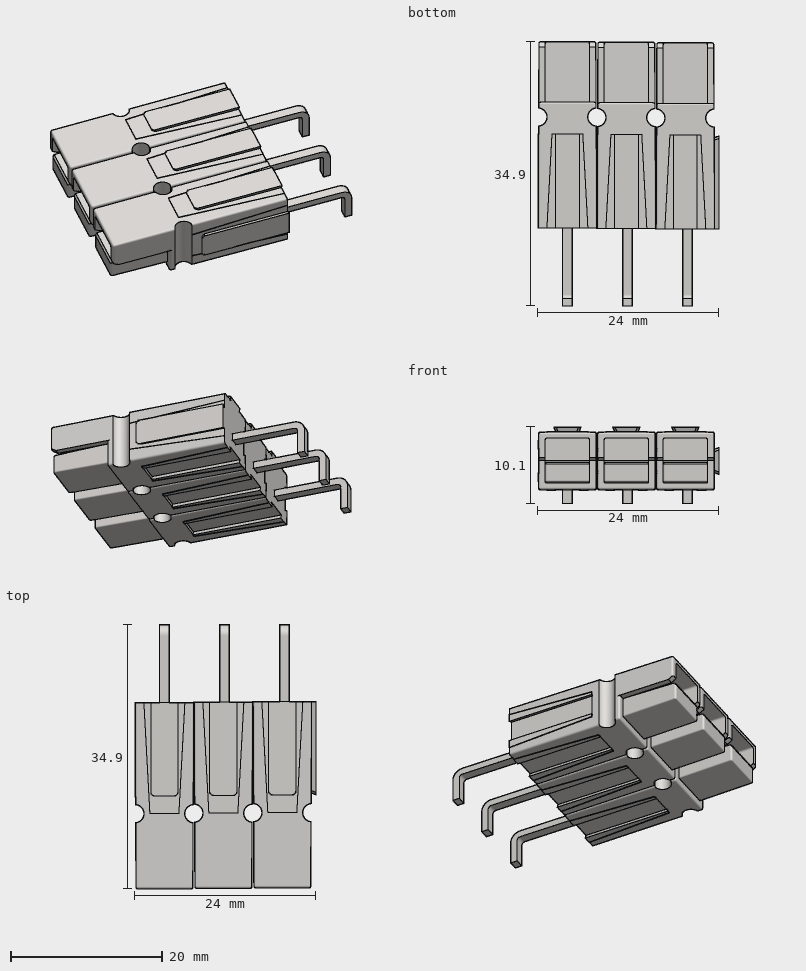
import cadquery as cq
import math

HOUSING_COUNT = 3
HOUSING_PITCH = 7.8
HOUSING_STAGGER = 0.07

HOUSING_LENGTH = 24.62
REAR_HALF_WIDTH = 3.85
FRONT_HALF_WIDTH = 3.77
EDGE_RADIUS = 0.28
BODY_FRONT = -16.62
HOOD_UNDERSIDE = 0.05
HOOD_LIP_RUN = 0.7
HOOD_LIP_RISE = 0.45
WINDOW_HALF_WIDTH = 2.95
WINDOW_TOP = 3.05
WINDOW_RADIUS = 0.28

BLOCK_TOP_FRONT = -0.17
BLOCK_CHAMFER = 0.25
BLOCK_BOTTOM_REAR = -2.9
BLOCK_BOTTOM_FRONT = -2.75
BLOCK_BOTTOM_RADIUS = 0.17

PAD_REAR_WIDTH = 5.4
PAD_SLOPE = 0.054
TONGUE_PAD_HEIGHT = 3.88
TONGUE_PAD_LENGTH = 14.65
GROOVE_PAD_HEIGHT = HOUSING_PITCH - TONGUE_PAD_HEIGHT
GROOVE_PAD_LENGTH = 12.43

TONGUE_BASE_WIDTH = 3.15
TONGUE_TOP_WIDTH = 3.6
TONGUE_HEIGHT = 0.6
TONGUE_LENGTH = 12.33
TONGUE_CORNER = 0.3

NOTCH_RADIUS = 1.2
NOTCH_Y = -14.65

PIN_PITCH = 7.93
PIN_WIDTH = 1.3
PIN_THICKNESS = 0.98
PIN_TOP = -0.85
PIN_REACH = 10.3
PIN_BOTTOM = -5.62
PIN_INSERTION = 7.0
PIN_BEND_RADIUS = 1.45

FIRST_X = -HOUSING_PITCH * (HOUSING_COUNT - 1) / 2
TONGUE_TIP = TONGUE_PAD_HEIGHT + TONGUE_HEIGHT


def box(x_range, y_range, z_range):
    """Box between two limits along each axis."""
    sides = [high - low for low, high in (x_range, y_range, z_range)]
    corner = (x_range[0], y_range[0], z_range[0])
    return cq.Workplane("XY").box(*sides, centered=False).translate(corner)


def turn_to_side(shape):
    """Turn a feature of the top face onto the +X side."""
    return shape.rotate((0, 0, 0), (0, 1, 0), 90)


def turn_to_bottom(shape):
    """Turn a feature of the top face onto the bottom."""
    return shape.rotate((0, 0, 0), (0, 1, 0), 180)


def shell():
    """Drafted outer body with the overhanging hood, outer edges rounded."""
    draft = math.degrees(math.atan((REAR_HALF_WIDTH - FRONT_HALF_WIDTH) / HOUSING_LENGTH))
    rear_size = 2 * REAR_HALF_WIDTH
    body = cq.Workplane("XZ").rect(rear_size, rear_size).extrude(HOUSING_LENGTH, taper=draft)
    under_hood = box(
        (-rear_size, rear_size), (-2 * HOUSING_LENGTH, BODY_FRONT), (-rear_size, HOOD_UNDERSIDE)
    )
    body = body.cut(under_hood)

    def is_outer(edge):
        center = edge.Center()
        return center.y < -EDGE_RADIUS and abs(center.z - HOOD_UNDERSIDE) > EDGE_RADIUS

    body = body.edges().filter(is_outer).fillet(EDGE_RADIUS)
    lip = (
        cq.Workplane("YZ")
        .moveTo(-HOUSING_LENGTH, HOOD_UNDERSIDE)
        .lineTo(-HOUSING_LENGTH + HOOD_LIP_RUN, HOOD_UNDERSIDE)
        .lineTo(-HOUSING_LENGTH, HOOD_UNDERSIDE + HOOD_LIP_RISE)
        .close()
        .extrude(REAR_HALF_WIDTH, both=True)
    )
    return body.cut(lip)


def window():
    """Opening under the hood, closed at the rear by the body front."""
    opening = box(
        (-WINDOW_HALF_WIDTH, WINDOW_HALF_WIDTH), (-HOUSING_LENGTH, BODY_FRONT), (HOOD_UNDERSIDE, WINDOW_TOP)
    )
    return opening.edges("|Y and >Z").fillet(WINDOW_RADIUS)


def support_block():
    """Block that reaches forward below the window; top and bottom are drafted."""
    block = (
        cq.Workplane("YZ")
        .moveTo(BODY_FRONT, HOOD_UNDERSIDE)
        .lineTo(-HOUSING_LENGTH + BLOCK_CHAMFER, BLOCK_TOP_FRONT)
        .lineTo(-HOUSING_LENGTH, BLOCK_TOP_FRONT - BLOCK_CHAMFER)
        .lineTo(-HOUSING_LENGTH, BLOCK_BOTTOM_FRONT)
        .lineTo(BODY_FRONT, BLOCK_BOTTOM_REAR)
        .close()
        .extrude(WINDOW_HALF_WIDTH, both=True)
    )
    block = block.edges("|Z and <Y").fillet(EDGE_RADIUS)

    def is_bottom_side(edge):
        center = edge.Center()
        on_side = abs(center.x) > WINDOW_HALF_WIDTH - BLOCK_BOTTOM_RADIUS
        on_bottom = center.z < BLOCK_BOTTOM_FRONT
        return on_side and on_bottom and edge.BoundingBox().ylen > EDGE_RADIUS * 2

    return block.edges().filter(is_bottom_side).fillet(BLOCK_BOTTOM_RADIUS)


def pad(length, height):
    """Pad on the top face, narrowing toward the front."""
    rear_half = PAD_REAR_WIDTH / 2
    front_half = rear_half - PAD_SLOPE * length
    outline = [(-rear_half, 0), (rear_half, 0), (front_half, -length), (-front_half, -length)]
    root = FRONT_HALF_WIDTH - EDGE_RADIUS
    return cq.Workplane("XY").workplane(offset=root).polyline(outline).close().extrude(height - root)


def dovetail(length, base_height):
    """Straight dovetail along the top face, widening upward from base_height."""
    base_half = TONGUE_BASE_WIDTH / 2
    top_half = TONGUE_TOP_WIDTH / 2
    tip = base_height + TONGUE_HEIGHT
    outline = [(-base_half, base_height), (base_half, base_height), (top_half, tip), (-top_half, tip)]
    return cq.Workplane("XZ").polyline(outline).close().extrude(length)


def tongue():
    """Dovetail tongue with an undercut nose and chamfered nose corners."""
    undercut = (TONGUE_TOP_WIDTH - TONGUE_BASE_WIDTH) / 2
    nose_cut = (
        cq.Workplane("YZ")
        .moveTo(-TONGUE_LENGTH, TONGUE_PAD_HEIGHT)
        .lineTo(-TONGUE_LENGTH + undercut, TONGUE_PAD_HEIGHT)
        .lineTo(-TONGUE_LENGTH, TONGUE_TIP)
        .close()
        .extrude(TONGUE_TOP_WIDTH, both=True)
    )
    bar = dovetail(TONGUE_LENGTH, TONGUE_PAD_HEIGHT).cut(nose_cut)

    def is_nose_corner(edge):
        center = edge.Center()
        rises = edge.BoundingBox().zlen > TONGUE_HEIGHT / 2
        return rises and center.y < -TONGUE_LENGTH / 2

    return bar.edges().filter(is_nose_corner).chamfer(TONGUE_CORNER)


def make_housing():
    """One housing: tongues on top and +X, grooves on the bottom and -X."""
    body = shell().cut(window()).union(support_block())

    tongue_pad = pad(TONGUE_PAD_LENGTH, TONGUE_PAD_HEIGHT)
    tongue_side = tongue_pad.union(tongue())
    body = body.union(tongue_side).union(turn_to_side(tongue_side))

    groove_pad = pad(GROOVE_PAD_LENGTH, GROOVE_PAD_HEIGHT)
    groove_space = dovetail(GROOVE_PAD_LENGTH, TONGUE_PAD_HEIGHT - HOUSING_PITCH)
    bottom_pad = turn_to_bottom(groove_pad)
    body = body.union(bottom_pad).union(turn_to_side(bottom_pad))
    body = body.cut(groove_space).cut(turn_to_side(groove_space))

    notches = (
        cq.Workplane("XY")
        .pushPoints([(-HOUSING_PITCH / 2, NOTCH_Y), (HOUSING_PITCH / 2, NOTCH_Y)])
        .circle(NOTCH_RADIUS)
        .extrude(TONGUE_TIP, both=True)
    )
    return body.cut(notches)


def make_pin():
    """Flat pin bent down behind the housing."""
    bend = PIN_BEND_RADIUS
    inner_back = PIN_REACH - PIN_THICKNESS
    inner_top = PIN_TOP - PIN_THICKNESS
    strip = (
        cq.Workplane("YZ")
        .moveTo(-PIN_INSERTION, PIN_TOP)
        .lineTo(PIN_REACH, PIN_TOP)
        .lineTo(PIN_REACH, PIN_BOTTOM)
        .lineTo(inner_back, PIN_BOTTOM)
        .lineTo(inner_back, inner_top)
        .lineTo(-PIN_INSERTION, inner_top)
        .close()
        .extrude(PIN_WIDTH / 2, both=True)
    )
    strip = strip.edges("|X and >Y and >Z").fillet(bend)
    inner_corner = cq.selectors.NearestToPointSelector((0, inner_back, inner_top))
    return strip.edges(inner_corner).fillet(bend - PIN_THICKNESS)


housing = make_housing()
pin = make_pin()
housings = []
pins = []
for index in range(HOUSING_COUNT):
    placed_pin = pin.translate((FIRST_X + index * PIN_PITCH, 0, 0))
    placed_housing = housing.translate((FIRST_X + index * HOUSING_PITCH, index * HOUSING_STAGGER, 0))
    pins.extend(placed_pin.solids().vals())
    housings.extend(placed_housing.cut(placed_pin).solids().vals())

result = cq.Compound.makeCompound([*housings, *pins])